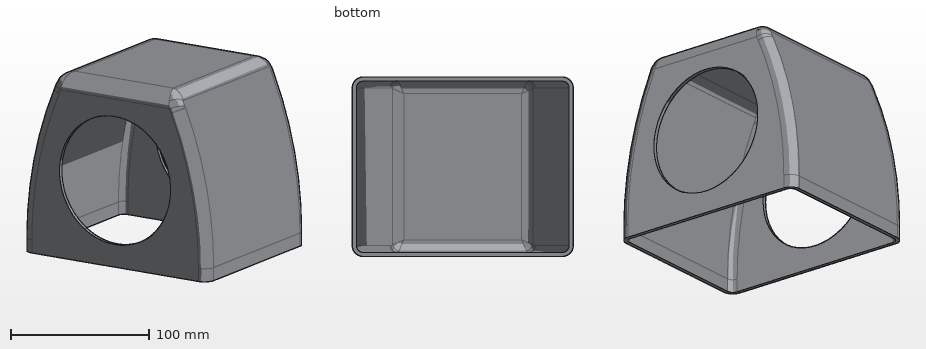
import cadquery as cq
import math

width = 160.0
depth = 130.0
height = 138.0
straight_height = 10.0
side_radius = 289.6
side_fillet = 8.0
top_fillet = 12.0
wall = 3.0
hole_diameter = 96.0
hole_height = 65.0


def rounded_hood(inset):
    """Solid hood, offset inward by inset everywhere except its open base."""
    half_width = width / 2 - inset
    half_depth = depth / 2 - inset
    top = height - inset
    radius = side_radius - inset

    def arc_point(z):
        rise = z - straight_height
        return half_width - radius + math.sqrt(radius**2 - rise**2), z

    middle_x, middle_z = arc_point((straight_height + top) / 2)
    top_x, _ = arc_point(top)
    body = (
        cq.Workplane("XZ")
        .moveTo(-half_width, 0)
        .lineTo(half_width, 0)
        .lineTo(half_width, straight_height)
        .threePointArc((middle_x, middle_z), (top_x, top))
        .lineTo(-top_x, top)
        .threePointArc((-middle_x, middle_z), (-half_width, straight_height))
        .close()
        .extrude(half_depth, both=True)
    )
    body = body.faces(">Z").edges().fillet(top_fillet - inset)
    side_edges = body.faces("<Y or >Y").edges("not(<Z or >Z)")
    return side_edges.fillet(side_fillet - inset)


hole = (
    cq.Workplane("XZ")
    .center(0, hole_height)
    .circle(hole_diameter / 2)
    .extrude(depth, both=True)
)

result = rounded_hood(0).cut(rounded_hood(wall)).cut(hole)